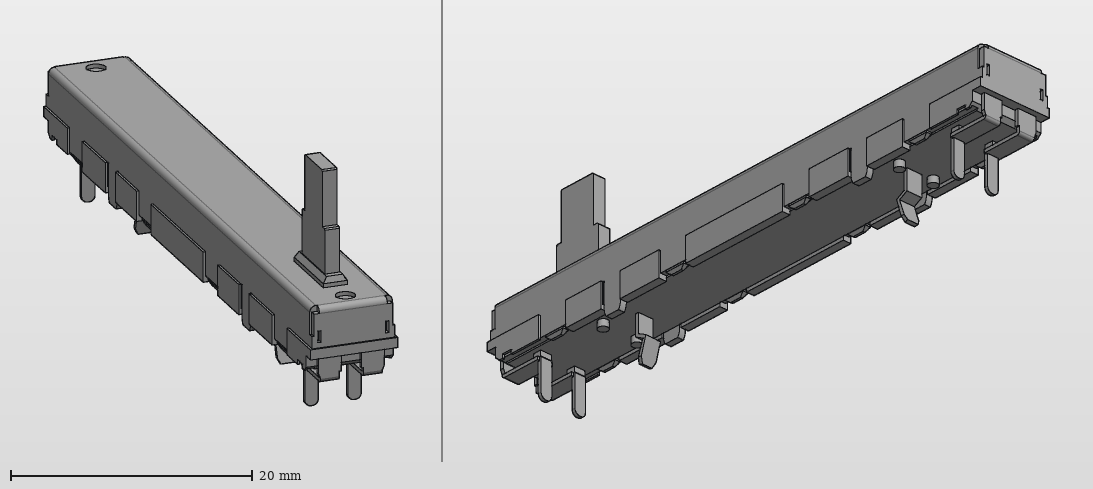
import cadquery as cq


BASE_LENGTH = 60.0
BASE_HALF = BASE_LENGTH / 2
BASE_OVERHANG = 0.2

COVER_LENGTH = BASE_LENGTH - BASE_OVERHANG
COVER_SHIFT = -BASE_OVERHANG / 2
COVER_WIDTH = 7.4
COVER_TOP = 6.3
COVER_SIDE_BOTTOM = 0.55
COVER_END_BOTTOM = 1.8
COVER_FILLET = 0.55
SHEET = 0.65
COVER_HALF = COVER_LENGTH / 2
SIDE_Y = COVER_WIDTH / 2
INNER_SIDE_Y = SIDE_Y - SHEET

RELIEF_LENGTH = 0.55
RELIEF_BOTTOM = 3.8
RELIEF_DEPTH = 0.2
END_SLOT_WIDTH = 0.3
END_SLOT_BOTTOM = 3.2
END_SLOT_TOP = 4.2
DIMPLE_X = 28.0
DIMPLE_DIAMETER = 1.7
DIMPLE_DEPTH = 0.35

BASE_WIDTH = 7.8
PLATE_TOP = 2.7
FLOOR_BOTTOM = 0.35
LOWER_HALF = 29.0
LOWER_END_CHAMFER = 0.4
PLATE_Y = BASE_WIDTH / 2
MIDDLE_PLATE_HALF = 5.9
SIDE_PLATES = [(9.1, 13.85), (16.15, 21.35)]
SHIFTED_SIDE_PLATES = [(9.1, 13.85), (16.15, 20.45)]
END_PLATE_START = 24.65
SHIFTED_END_PLATE_START = 23.75

TAB_X = 15.0
TAB_WIDTH = 2.0
TAB_TIP_WIDTH = 1.5
TAB_BOTTOM = -0.8
TAB_CURVE_START = 0.1
TAB_BULGE = 0.05
SLIT_WIDTH = 0.2

CRIMP_XS = [7.45, 23.0]
SHIFTED_CRIMP_XS = [7.45, 22.1]
CRIMP_TOP_SIZE = (2.15, 0.6)
CRIMP_TIP_SIZE = (1.2, 0.25)
LUG_X = 18.0
LUG_DIAMETER = 1.0
LUG_BOTTOM = -0.35
NOTCH_X = 27.6
NOTCH_LENGTH = 1.0
NOTCH_HEIGHT = 0.4

BRACKET_OUTER_X = 29.4
BRACKET_THICKNESS = 0.35
BRACKET_BEND_RADIUS = 0.3
BRACKET_BOTTOM = -0.6
BRACKET_INNER_Y = 0.9
BRACKET_OUTER_Y = 2.95
BRACKET_NARROW_TOP = 0.2
BRACKET_TAPER = 0.2
PIN_X = 25.1
PIN_Y = 1.9
PIN_WIDTH = 1.2
PIN_THICKNESS = 0.35
PIN_BOTTOM = -4.25
PIN_TIP_FILLET = 0.55
PIN_ROOT_START = 24.95
PIN_ROOT_LENGTH = 0.9

LEG_LEFT_X = -17.6
LEG_RIGHT_X = 15.05
LEG_WIDTH = 1.7
LEG_BOTTOM = -4.55
LEG_TIP_CHAMFER_WIDTH = 0.3
LEG_TIP_CHAMFER_HEIGHT = 0.6
LEG_PROFILE = [
    (-0.2, FLOOR_BOTTOM), (0.2, FLOOR_BOTTOM), (0.2, -1.7), (1.1, -2.15),
    (0.35, LEG_BOTTOM), (0, -4.45), (0.7, -2.35), (-0.2, -1.85),
]
LEG_REACH = 1.2

LEVER_X = 22.5
LEVER_THICKNESS = 1.3
LEVER_TOP = 16.25
LEVER_STEP_Z = 11.2
LEVER_WIDTH = 5.1
LEVER_TIP_WIDTH = 3.95
COLLAR_LENGTH = 6.55
COLLAR_WIDTH = 2.15
COLLAR_STEP_Z = 6.65
COLLAR_TOP = 7.2
COLLAR_TOP_LENGTH = 6.2
COLLAR_TOP_WIDTH = 1.45
LEVER_CHAMFER = 0.1


def block(x_range, y_range, z_range):
    """Box between the given coordinates, in any order."""
    spans = [sorted(r) for r in (x_range, y_range, z_range)]
    size = [high - low for low, high in spans]
    corner = tuple(low for low, high in spans)
    return cq.Workplane("XY").box(*size, centered=False).translate(corner)


def prism_along_y(points, y_range):
    """Closed XZ outline extruded between two Y positions."""
    low, high = sorted(y_range)
    return cq.Workplane("XZ", origin=(0, high, 0)).polyline(points).close().extrude(high - low)


def prism_along_x(points, x_range):
    """Closed YZ outline extruded between two X positions."""
    low, high = sorted(x_range)
    return cq.Workplane("YZ", origin=(low, 0, 0)).polyline(points).close().extrude(high - low)


def cover():
    shell = block((-COVER_HALF, COVER_HALF), (-SIDE_Y, SIDE_Y), (COVER_END_BOTTOM, COVER_TOP))
    shell = shell.faces(">Z").edges().fillet(COVER_FILLET)
    skirt = block((-LOWER_HALF, LOWER_HALF), (-SIDE_Y, SIDE_Y), (COVER_SIDE_BOTTOM, COVER_END_BOTTOM))
    shell = shell.translate((COVER_SHIFT, 0, 0)).union(skirt)
    for end in (-1, 1):
        end_x = COVER_SHIFT + end * COVER_HALF
        dimple = cq.Workplane("XY", origin=(end * DIMPLE_X, 0, COVER_TOP - DIMPLE_DEPTH))
        shell = shell.cut(dimple.circle(DIMPLE_DIAMETER / 2).extrude(DIMPLE_DEPTH))
        for side in (-1, 1):
            shell = shell.cut(block(
                (end_x - end * RELIEF_LENGTH, end_x),
                (side * (SIDE_Y - RELIEF_DEPTH), side * SIDE_Y),
                (RELIEF_BOTTOM, COVER_TOP)))
            shell = shell.cut(block(
                (end_x - end * RELIEF_LENGTH, end_x),
                (side * INNER_SIDE_Y, side * SIDE_Y),
                (COVER_TOP - COVER_FILLET, COVER_TOP)))
            slot_y = side * INNER_SIDE_Y
            shell = shell.cut(block(
                (end_x - end * RELIEF_LENGTH, end_x),
                (slot_y - END_SLOT_WIDTH / 2, slot_y + END_SLOT_WIDTH / 2),
                (END_SLOT_BOTTOM, END_SLOT_TOP)))
            for edge in (-1, 1):
                slit_start = end * TAB_X + edge * TAB_WIDTH / 2
                shell = shell.cut(block(
                    (slit_start, slit_start + edge * SLIT_WIDTH),
                    (side * INNER_SIDE_Y, side * SIDE_Y),
                    (COVER_SIDE_BOTTOM, PLATE_TOP)))
    return shell


def side_plates(side, spans, end_start):
    """Side plates of one side; side is -1 for -Y and +1 for +Y."""
    y_range = (side * INNER_SIDE_Y, side * PLATE_Y)
    outer_y = (side * SIDE_Y, side * PLATE_Y)
    plates = block((-MIDDLE_PLATE_HALF, MIDDLE_PLATE_HALF), outer_y, (0, PLATE_TOP))
    plates = plates.union(block((-MIDDLE_PLATE_HALF, MIDDLE_PLATE_HALF), y_range, (0, COVER_SIDE_BOTTOM)))
    for end in (-1, 1):
        for start, stop in spans:
            x_range = (end * start, end * stop)
            plates = plates.union(block(x_range, outer_y, (0, PLATE_TOP)))
            plates = plates.union(block(x_range, y_range, (0, COVER_SIDE_BOTTOM)))
        plates = plates.union(block(
            (end * end_start, end * LOWER_HALF), outer_y, (FLOOR_BOTTOM, PLATE_TOP)))
        plates = plates.union(block(
            (end * end_start, end * BASE_HALF), outer_y, (COVER_END_BOTTOM, PLATE_TOP)))
    return plates


def base():
    floor = block((-LOWER_HALF, LOWER_HALF), (-INNER_SIDE_Y, INNER_SIDE_Y), (FLOOR_BOTTOM, COVER_SIDE_BOTTOM))
    overhang = block(
        (BASE_HALF - BASE_OVERHANG, BASE_HALF), (-PLATE_Y, PLATE_Y), (COVER_END_BOTTOM, PLATE_TOP))
    front = side_plates(-1, SIDE_PLATES, END_PLATE_START)
    back = side_plates(1, SHIFTED_SIDE_PLATES, SHIFTED_END_PLATE_START)
    return floor.union(overhang).union(front).union(back)


def tab(x, side):
    """Cover tab tapering to its tip along two arcs."""
    half, tip_half = TAB_WIDTH / 2, TAB_TIP_WIDTH / 2
    bulge_x = (half + tip_half) / 2 + TAB_BULGE
    bulge_z = (TAB_CURVE_START + TAB_BOTTOM) / 2 - TAB_BULGE
    sketch = (
        cq.Workplane("XZ", origin=(x, max(side * INNER_SIDE_Y, side * SIDE_Y), 0))
        .moveTo(-half, COVER_SIDE_BOTTOM)
        .lineTo(-half, TAB_CURVE_START)
        .threePointArc((-bulge_x, bulge_z), (-tip_half, TAB_BOTTOM))
        .lineTo(tip_half, TAB_BOTTOM)
        .threePointArc((bulge_x, bulge_z), (half, TAB_CURVE_START))
        .lineTo(half, COVER_SIDE_BOTTOM)
        .close()
    )
    return sketch.extrude(SHEET)


def crimp(x, side):
    """Staked crimp under the cover side, tapering downward all round."""
    middle_y = side * (SIDE_Y + INNER_SIDE_Y) / 2
    taper = (
        cq.Workplane("XY", origin=(x, middle_y, 0))
        .rect(*CRIMP_TIP_SIZE)
        .workplane(offset=FLOOR_BOTTOM)
        .rect(*CRIMP_TOP_SIZE)
        .loft()
    )
    collar = cq.Workplane("XY", origin=(x, middle_y, FLOOR_BOTTOM)).rect(*CRIMP_TOP_SIZE)
    return taper.union(collar.extrude(COVER_SIDE_BOTTOM - FLOOR_BOTTOM))


def lug(x, y):
    """Round lug below the floor."""
    start = cq.Workplane("XY", origin=(x, y, LUG_BOTTOM))
    return start.circle(LUG_DIAMETER / 2).extrude(FLOOR_BOTTOM - LUG_BOTTOM)


def bracket(end, side):
    """L-shaped end bracket: wall, floor strip, root block and pin."""
    wall_inner_x = BRACKET_OUTER_X - BRACKET_THICKNESS
    strip_top = BRACKET_BOTTOM + BRACKET_THICKNESS
    low_inner_y = BRACKET_INNER_Y + BRACKET_TAPER
    low_outer_y = BRACKET_OUTER_Y - BRACKET_TAPER
    wall_outline = [
        (side * BRACKET_INNER_Y, COVER_END_BOTTOM), (side * BRACKET_OUTER_Y, COVER_END_BOTTOM),
        (side * BRACKET_OUTER_Y, BRACKET_NARROW_TOP), (side * low_outer_y, strip_top),
        (side * low_inner_y, strip_top), (side * low_inner_y, BRACKET_NARROW_TOP),
        (side * BRACKET_INNER_Y, BRACKET_NARROW_TOP),
    ]
    wall = prism_along_x(wall_outline, (end * wall_inner_x, end * BRACKET_OUTER_X))
    strip = block(
        (end * PIN_X, end * BRACKET_OUTER_X), (side * low_inner_y, side * low_outer_y),
        (BRACKET_BOTTOM, strip_top))
    outer_face = ">X" if end > 0 else "<X"
    strip = strip.faces(outer_face).edges("<Z").fillet(BRACKET_BEND_RADIUS)
    pin_y = (side * PIN_Y - PIN_WIDTH / 2, side * PIN_Y + PIN_WIDTH / 2)
    root = block(
        (end * PIN_ROOT_START, end * (PIN_ROOT_START + PIN_ROOT_LENGTH)), pin_y,
        (BRACKET_BOTTOM, FLOOR_BOTTOM))
    pin = block(
        (end * PIN_X - PIN_THICKNESS / 2, end * PIN_X + PIN_THICKNESS / 2), pin_y,
        (PIN_BOTTOM, strip_top))
    pin = pin.faces("<Z").edges("|X").fillet(PIN_TIP_FILLET)
    return wall.union(strip).union(root).union(pin)


def leg(x, direction):
    """Kinked leg; its knee points toward +X or -X."""
    half = LEG_WIDTH / 2
    kinked = prism_along_y([(x + direction * dx, z) for dx, z in LEG_PROFILE], (-half, half))
    tip_half = half - LEG_TIP_CHAMFER_WIDTH
    chamfer_z = LEG_BOTTOM + LEG_TIP_CHAMFER_HEIGHT
    face = [
        (-half, FLOOR_BOTTOM), (half, FLOOR_BOTTOM), (half, chamfer_z),
        (tip_half, LEG_BOTTOM), (-tip_half, LEG_BOTTOM), (-half, chamfer_z),
    ]
    return kinked.intersect(prism_along_x(face, (x - LEG_REACH, x + LEG_REACH)))


def lever():
    collar = (
        cq.Workplane("XY", origin=(LEVER_X, 0, COVER_TOP))
        .rect(COLLAR_LENGTH, COLLAR_WIDTH)
        .extrude(COLLAR_STEP_Z - COVER_TOP)
    )
    taper = (
        cq.Workplane("XY", origin=(LEVER_X, 0, COLLAR_STEP_Z))
        .rect(COLLAR_LENGTH, COLLAR_WIDTH)
        .workplane(offset=COLLAR_TOP - COLLAR_STEP_Z)
        .rect(COLLAR_TOP_LENGTH, COLLAR_TOP_WIDTH)
        .loft()
    )
    half, tip_half = LEVER_WIDTH / 2, LEVER_TIP_WIDTH / 2
    y_range = (-LEVER_THICKNESS / 2, LEVER_THICKNESS / 2)
    shank = block((LEVER_X - half, LEVER_X + half), y_range, (COLLAR_TOP, LEVER_STEP_Z))
    shank = shank.faces(">Z").edges("|Y").chamfer(LEVER_CHAMFER)
    tip = block((LEVER_X - tip_half, LEVER_X + tip_half), y_range, (COLLAR_TOP, LEVER_TOP))
    tip = tip.faces(">Z").edges("|Y").chamfer(LEVER_CHAMFER)
    return collar.union(taper).union(shank).union(tip)


def trim_lower_ends(body):
    """Chamfer the lower end edges and notch the end plates."""
    for end in (-1, 1):
        corner = [
            (end * LOWER_HALF, FLOOR_BOTTOM),
            (end * (LOWER_HALF - LOWER_END_CHAMFER), FLOOR_BOTTOM),
            (end * LOWER_HALF, FLOOR_BOTTOM + LOWER_END_CHAMFER),
        ]
        body = body.cut(prism_along_y(corner, (-PLATE_Y, PLATE_Y)))
        for side in (-1, 1):
            body = body.cut(block(
                (end * NOTCH_X - NOTCH_LENGTH / 2, end * NOTCH_X + NOTCH_LENGTH / 2),
                (side * SIDE_Y, side * PLATE_Y),
                (FLOOR_BOTTOM, FLOOR_BOTTOM + NOTCH_HEIGHT)))
    return body


result = trim_lower_ends(cover().union(base())).union(lever())
for end in (-1, 1):
    for side, crimp_xs in ((-1, CRIMP_XS), (1, SHIFTED_CRIMP_XS)):
        result = result.union(tab(end * TAB_X, side)).union(bracket(end, side))
        result = result.union(lug(end * LUG_X, side * PIN_Y))
        for crimp_x in crimp_xs:
            result = result.union(crimp(end * crimp_x, side))
result = result.union(leg(LEG_LEFT_X, 1)).union(leg(LEG_RIGHT_X, -1))